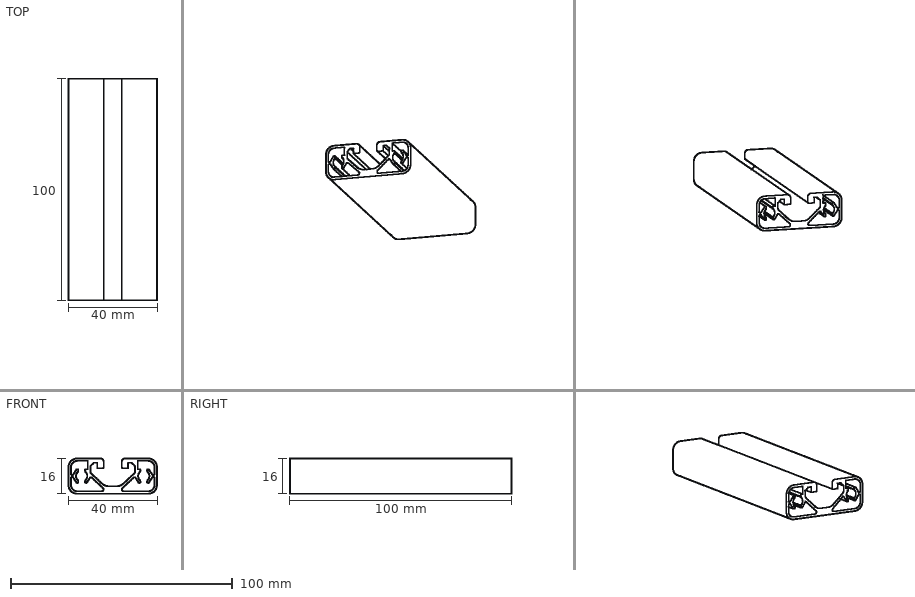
import cadquery as cq
import math

width = 40.0
length = 100.0
height = 16.0
corner_radius = 4.0
wall = 1.2

slot_half = 4.0
mouth_overrun = 1.0
lip_height = 4.5
lip_top_radius = 1.6
lip_bottom_radius = 0.6
hook_half = 7.0
hook_roof_thickness = 2.0
hook_roof_z = height - hook_roof_thickness
channel_half = 10.0
channel_chamfer = 1.5
channel_bend_radius = 1.0
floor_z = 3.5
floor_half = 2.0
floor_radius = 4.0
web_angle = math.radians(43.0)
web_thickness = 1.25

cavity_half = width / 2 - wall
cavity_radius = corner_radius - wall
cavity_inner_x = -11.3
cavity_tip_radius = 0.8
root_radius = 0.4

port_x = -14.0
port_z = height / 2
port_radius = 2.5
port_gap_half = 0.5
claw_radius = 0.53
claw_dx = 1.98
claw_dz = 2.6
claw_angle = math.radians(57.0)
notch_radius = 0.5


def rounded_prism(corners):
    """Extrude a closed outline of (x, z, radius) corners along the full length."""
    start = None
    path = cq.Workplane("XZ", origin=(0, length / 2, 0))
    count = len(corners)
    for i in range(count):
        x, z, radius = corners[i]
        corner = cq.Vector(x, z)
        to_previous = (cq.Vector(*corners[i - 1][:2]) - corner).normalized()
        to_next = (cq.Vector(*corners[(i + 1) % count][:2]) - corner).normalized()
        half_angle = to_previous.getAngle(to_next) / 2
        setback = radius / math.tan(half_angle)
        entry = (corner + to_previous * setback).toTuple()[:2]
        leave = (corner + to_next * setback).toTuple()[:2]
        if start is None:
            start = entry
            path = path.moveTo(*entry)
        else:
            path = path.lineTo(*entry)
        if radius > 0:
            bisector = (to_previous + to_next).normalized()
            mid_distance = radius / math.sin(half_angle) - radius
            middle = (corner + bisector * mid_distance).toTuple()[:2]
            path = path.threePointArc(middle, leave)
    return path.close().extrude(length)


def cylinder(x, z, radius):
    """Full-length round bar along Y."""
    return cq.Workplane("XZ", origin=(0, length / 2, 0)).center(x, z).circle(radius).extrude(length)


def blank():
    """Solid bar with rounded long edges."""
    half = width / 2
    return rounded_prism([
        (-half, 0, corner_radius),
        (half, 0, corner_radius),
        (half, height, corner_radius),
        (-half, height, corner_radius),
    ])


floor_corner_x = -floor_half - floor_radius * math.tan(web_angle / 2)


def channel():
    """Void of the hooked channel between the two lips, open at the top face."""
    bend_z = floor_z + (channel_half + floor_corner_x) * math.tan(web_angle)
    lip_z = height - lip_height
    mouth_x = -slot_half - lip_top_radius - mouth_overrun
    left = [
        (mouth_x, height + mouth_overrun, 0),
        (mouth_x, height, 0),
        (-slot_half, height, lip_top_radius),
        (-slot_half, lip_z, lip_bottom_radius),
        (-hook_half, lip_z, 0),
        (-hook_half, hook_roof_z, 0),
        (-channel_half + channel_chamfer, hook_roof_z, 0),
        (-channel_half, hook_roof_z - channel_chamfer, 0),
        (-channel_half, bend_z, channel_bend_radius),
        (floor_corner_x, floor_z, floor_radius),
    ]
    right = [(-x, z, radius) for x, z, radius in reversed(left)]
    return rounded_prism(left + right)


def cavity():
    """Void of the left cavity, including its screw port and the claws around it."""
    left_claw_x = port_x - claw_dx
    right_claw_x = port_x + claw_dx
    top_claw_z = port_z + claw_dz
    bottom_claw_z = port_z - claw_dz
    flank_dx = claw_radius * math.sin(claw_angle)
    flank_dz = claw_radius * math.cos(claw_angle)
    flank_slope = math.tan(claw_angle)
    left_flank_x = left_claw_x - flank_dx
    right_flank_x = right_claw_x + flank_dx
    top_flank_z = top_claw_z + flank_dz
    bottom_flank_z = bottom_claw_z - flank_dz

    notch_dz = claw_dz + flank_dz - (left_flank_x + cavity_half) * flank_slope

    web_slope = math.tan(web_angle)
    underside_z = floor_z - web_thickness / math.cos(web_angle)
    tip_x = floor_corner_x + (underside_z - wall) / web_slope

    underside_at_flank_z = wall + (tip_x - right_flank_x) * web_slope
    root_dx = (underside_at_flank_z - bottom_flank_z) / (flank_slope + web_slope)
    root_x = right_flank_x + root_dx
    root_z = bottom_flank_z + root_dx * flank_slope

    void = rounded_prism([
        (-cavity_half, height - wall, cavity_radius),
        (cavity_inner_x, height - wall, 0),
        (cavity_inner_x, top_claw_z + claw_radius, 0),
        (right_claw_x, top_claw_z + claw_radius, 0),
        (right_claw_x, top_claw_z, 0),
        (port_x + port_gap_half, port_z, 0),
        (right_claw_x, bottom_claw_z, 0),
        (right_flank_x, bottom_flank_z, 0),
        (root_x, root_z, root_radius),
        (tip_x, wall, cavity_tip_radius),
        (-cavity_half, wall, cavity_radius),
        (-cavity_half, port_z - notch_dz, notch_radius),
        (left_flank_x, bottom_flank_z, 0),
        (left_claw_x, bottom_claw_z, 0),
        (port_x - port_gap_half, port_z, 0),
        (left_claw_x, top_claw_z, 0),
        (left_flank_x, top_flank_z, 0),
        (-cavity_half, port_z + notch_dz, notch_radius),
    ])
    void = void.union(cylinder(port_x, port_z, port_radius))
    for x in (left_claw_x, right_claw_x):
        for z in (bottom_claw_z, top_claw_z):
            void = void.cut(cylinder(x, z, claw_radius))
    return void


left_cavity = cavity()
result = blank().cut(channel()).cut(left_cavity).cut(left_cavity.mirror("YZ"))